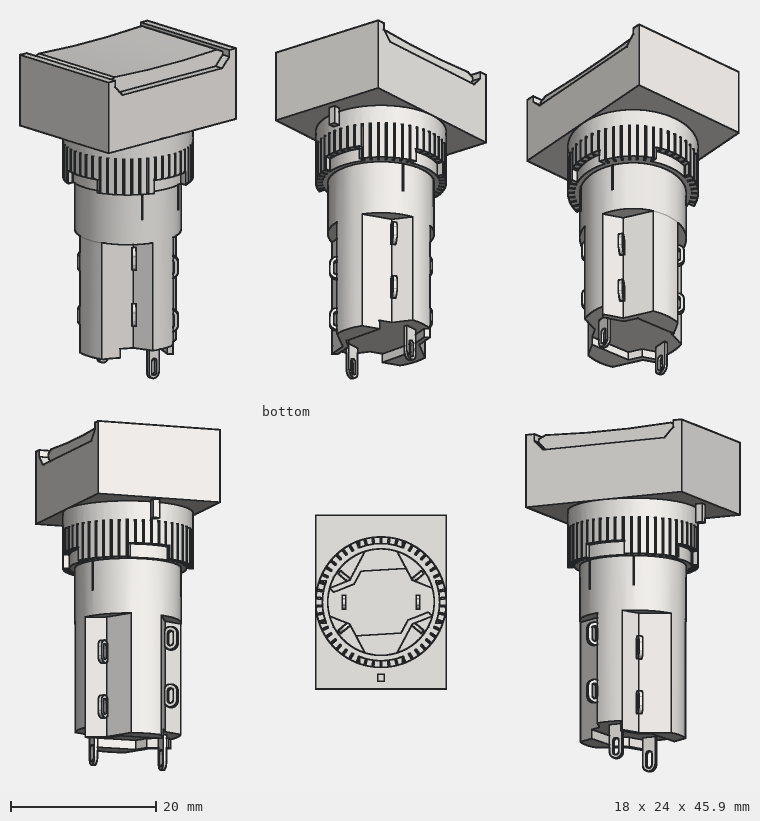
import cadquery as cq
import math

total_height = 45.9
head_bottom = 35.7
ring_slit_top = 33.1
ring_notch_top = 29.85
ring_bottom = 27.95
latch_bottom = 23.85
barrel_bottom = 20.3
recess_top = 4.77
block_bottom = 3.5

head_width = 18.0
head_length = 24.0
end_wall = 1.3
channel_depth = 2.35
channel_chamfer = 1.38
channel_half_length = head_length / 2 - end_wall
channel_floor = total_height - channel_depth

lens_width = 15.35
lens_chamfer_length = 1.05
lens_chamfer_drop = 0.5
lens_dip = 0.28

peg_size = 0.95
peg_center_y = 10.4
peg_bottom = 33.15

ring_radius = head_width / 2
slit_count = 50
slit_width = 0.25
notch_width = 5.88
notch_floor_radius = 8.1
slit_depth = ring_radius - notch_floor_radius

barrel_radius = 7.35
latch_width = 6.9
latch_reach = 6.55

side_lobe_half_width = 1.95
end_lobe_half_width = 2.2
groove_x = 4.3
groove_y = 3.05
side_lobe_x = math.sqrt(barrel_radius**2 - side_lobe_half_width**2)
end_lobe_y = math.sqrt(barrel_radius**2 - end_lobe_half_width**2)

recess_mouth = (6.5, 1.38)
recess_corner = (3.7, 2.5)
recess_end = (2.75, 4.25)
recess_open_y = 4.9

terminal_width = 1.95
terminal_thickness = 0.45
lamp_terminal_x = 5.1
lamp_hole_width = 0.9
lamp_hole_bottom = 0.45
lamp_hole_top = 2.85
loop_height = 3.2
loop_rim = 0.55
loop_thickness = 0.55
loop_center_radius = 6.1
loop_center_angle = 35.0
loop_plane_angle = 40.0
low_loop_heights = (7.57, 15.3)
high_loop_heights = (9.78, 17.85)


def cylinder(radius, bottom, top):
    return cq.Workplane("XY").workplane(offset=bottom).circle(radius).extrude(top - bottom)


def box(width, length, bottom, top, x=0.0, y=0.0):
    plane = cq.Workplane("XY").workplane(offset=bottom)
    return plane.center(x, y).rect(width, length).extrude(top - bottom)


def along_x(profile, length):
    """Extrude a closed YZ profile symmetrically about X = 0."""
    return profile.close().extrude(length / 2, both=True)


def make_channel():
    """Channel across the head that leaves an end wall at each Y end."""
    floor_half_length = channel_half_length - channel_chamfer
    chamfer_top = channel_floor + channel_chamfer
    profile = cq.Workplane("YZ").polyline([
        (-channel_half_length, total_height),
        (-channel_half_length, chamfer_top),
        (-floor_half_length, channel_floor),
        (floor_half_length, channel_floor),
        (channel_half_length, chamfer_top),
        (channel_half_length, total_height),
    ])
    return along_x(profile, head_width)


def make_head():
    head = box(head_width, head_length, head_bottom, total_height)
    peg = box(peg_size, peg_size, peg_bottom, head_bottom, y=peg_center_y)
    return head.cut(make_channel()).union(peg)


def make_lens():
    """Push lens that fills the channel between the end walls and has a dished top."""
    top_half_length = channel_half_length - lens_chamfer_length
    shoulder = total_height - lens_chamfer_drop
    profile = (
        cq.Workplane("YZ")
        .moveTo(-channel_half_length, channel_floor)
        .lineTo(-channel_half_length, shoulder)
        .lineTo(-top_half_length, total_height)
        .threePointArc((0, total_height - lens_dip), (top_half_length, total_height))
        .lineTo(channel_half_length, shoulder)
        .lineTo(channel_half_length, channel_floor)
    )
    return along_x(profile, lens_width).intersect(make_channel())


def make_ring():
    """Collar with knurling slits and a notch at each of the four sides."""
    ring = cylinder(ring_radius, ring_bottom, head_bottom)
    slits = (
        cq.Workplane("XY")
        .workplane(offset=ring_bottom)
        .polarArray(ring_radius, -90, 360, slit_count)
        .rect(2 * slit_depth, slit_width)
        .extrude(ring_slit_top - ring_bottom)
    )
    lengthwise = box(notch_width, 3 * ring_radius, ring_bottom, ring_notch_top)
    crosswise = box(3 * ring_radius, notch_width, ring_bottom, ring_notch_top)
    notches = lengthwise.union(crosswise).cut(cylinder(notch_floor_radius, ring_bottom, ring_notch_top))
    return ring.cut(slits).cut(notches)


def make_barrel():
    """Round barrel; the corners of a rectangular latch block just break through its +X and -X sides."""
    latch = box(2 * latch_reach, latch_width, latch_bottom, ring_bottom)
    return cylinder(barrel_radius, barrel_bottom, ring_bottom).union(latch)


def make_bottom_recess():
    """Recess open at both X sides and at two opposite grooves; it repeats after half a turn."""
    outside_x = barrel_radius + 0.45
    half = [
        (outside_x, side_lobe_half_width),
        (side_lobe_x, side_lobe_half_width),
        recess_mouth,
        recess_corner,
        recess_end,
        (-outside_x, recess_open_y),
    ]
    outline = half + [(-x, -y) for x, y in half]
    plane = cq.Workplane("XY").workplane(offset=block_bottom)
    return plane.polyline(outline).close().extrude(recess_top - block_bottom)


def make_contact_block():
    """Four round lobes with a V-shaped groove between neighbours, recessed at the bottom."""
    block = (
        cq.Workplane("XY")
        .workplane(offset=block_bottom)
        .moveTo(side_lobe_x, -side_lobe_half_width)
        .threePointArc((barrel_radius, 0), (side_lobe_x, side_lobe_half_width))
        .lineTo(groove_x, groove_y)
        .lineTo(end_lobe_half_width, end_lobe_y)
        .threePointArc((0, barrel_radius), (-end_lobe_half_width, end_lobe_y))
        .lineTo(-groove_x, groove_y)
        .lineTo(-side_lobe_x, side_lobe_half_width)
        .threePointArc((-barrel_radius, 0), (-side_lobe_x, -side_lobe_half_width))
        .lineTo(-groove_x, -groove_y)
        .lineTo(-end_lobe_half_width, -end_lobe_y)
        .threePointArc((0, -barrel_radius), (end_lobe_half_width, -end_lobe_y))
        .lineTo(groove_x, -groove_y)
        .close()
        .extrude(barrel_bottom - block_bottom)
    )
    return block.cut(make_bottom_recess())


def make_lamp_terminal(x):
    """Flat solder tag that hangs from the recess ceiling, with a round end and a slot."""
    radius = terminal_width / 2
    hole_height = lamp_hole_top - lamp_hole_bottom
    tag = (
        cq.Workplane("YZ")
        .moveTo(-radius, recess_top)
        .lineTo(-radius, radius)
        .threePointArc((0, 0), (radius, radius))
        .lineTo(radius, recess_top)
    )
    slot = (
        cq.Workplane("YZ")
        .center(0, lamp_hole_bottom + hole_height / 2)
        .slot2D(hole_height, lamp_hole_width, 90)
        .extrude(terminal_thickness, both=True)
    )
    return along_x(tag, terminal_thickness).cut(slot).translate((x, 0, 0))


def make_loop_terminal(side_x, side_y, height):
    """Upright oval loop that stands out of the groove in the given quadrant."""
    center_angle = math.radians(loop_center_angle)
    plane_angle = math.radians(loop_plane_angle)
    outward = (side_x * math.cos(plane_angle), side_y * math.sin(plane_angle), 0)
    across = (outward[1], -outward[0], 0)
    origin = (
        side_x * loop_center_radius * math.cos(center_angle),
        side_y * loop_center_radius * math.sin(center_angle),
        height,
    )
    plane = cq.Plane(origin=origin, xDir=outward, normal=across)
    half_thickness = loop_thickness / 2
    oval = cq.Workplane(plane).slot2D(loop_height, terminal_width, 90).extrude(half_thickness, both=True)
    eye = (
        cq.Workplane(plane)
        .slot2D(loop_height - 2 * loop_rim, terminal_width - 2 * loop_rim, 90)
        .extrude(half_thickness, both=True)
    )
    return oval.cut(eye)


def make_housing():
    housing = make_head().union(make_ring()).union(make_barrel()).union(make_contact_block())
    for side_x in (-1, 1):
        housing = housing.union(make_lamp_terminal(side_x * lamp_terminal_x))
        for side_y in (-1, 1):
            heights = low_loop_heights if side_x == side_y else high_loop_heights
            for height in heights:
                housing = housing.union(make_loop_terminal(side_x, side_y, height))
    return housing


housing = make_housing()
lens = make_lens()
result = cq.Compound.makeCompound([housing.val(), lens.val()])